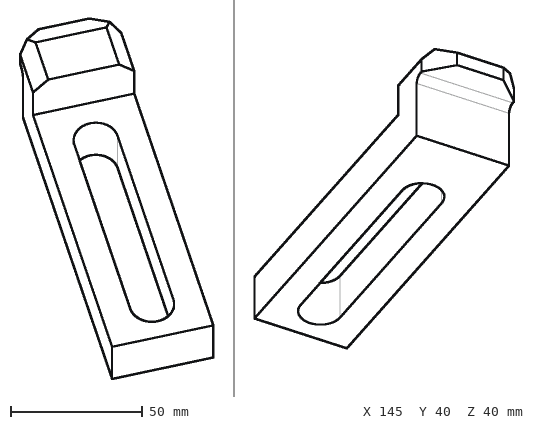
import cadquery as cq
import math

length = 145.0
width = 40.0
height = 40.0

nose_overhang = 14.0
head_length = 29.0
arm_height = 20.0
nose_underside = 28.0
underside_fillet = 3.0

side_chamfer = 6.0
corner_chamfer = 10.0
nose_bevel_drop = side_chamfer
nose_bevel_angle = 30.0
nose_bevel_length = nose_bevel_drop / math.tan(math.radians(nose_bevel_angle))

slot_start = 38.5
slot_end = 137.5
slot_width = 17.0


def stepped_body():
    """Side profile of arm, head and nose, extruded across the full width."""
    profile = (
        cq.Workplane("XZ")
        .moveTo(nose_overhang, 0)
        .lineTo(length, 0)
        .lineTo(length, arm_height)
        .lineTo(head_length, arm_height)
        .lineTo(head_length, height)
        .lineTo(nose_bevel_length, height)
        .lineTo(0, height - nose_bevel_drop)
        .lineTo(0, nose_underside)
        .lineTo(nose_overhang - underside_fillet, nose_underside)
        .radiusArc((nose_overhang, nose_underside - underside_fillet), underside_fillet)
        .close()
    )
    return profile.extrude(width / 2, both=True)


def nose_corner_cutter(side):
    """Vertical wedge that chamfers one front corner of the nose (side = +1 or -1)."""
    edge = side * width / 2
    corner = [(0, edge), (corner_chamfer, edge), (0, edge - side * corner_chamfer)]
    return (
        cq.Workplane("XY")
        .workplane(offset=nose_underside)
        .polyline(corner)
        .close()
        .extrude(height - nose_underside)
    )


def head_side_cutter(side):
    """Lengthwise wedge that chamfers one top edge of the head (side = +1 or -1)."""
    edge = side * width / 2
    wedge = [(edge, height), (edge, height - side_chamfer), (edge - side * side_chamfer, height)]
    return cq.Workplane("YZ").polyline(wedge).close().extrude(head_length)


def slot_cutter():
    """Round-ended slot through the arm."""
    return (
        cq.Workplane("XY")
        .center((slot_start + slot_end) / 2, 0)
        .slot2D(slot_end - slot_start, slot_width)
        .extrude(arm_height)
    )


result = stepped_body().cut(slot_cutter())
for side in (1, -1):
    result = result.cut(nose_corner_cutter(side)).cut(head_side_cutter(side))